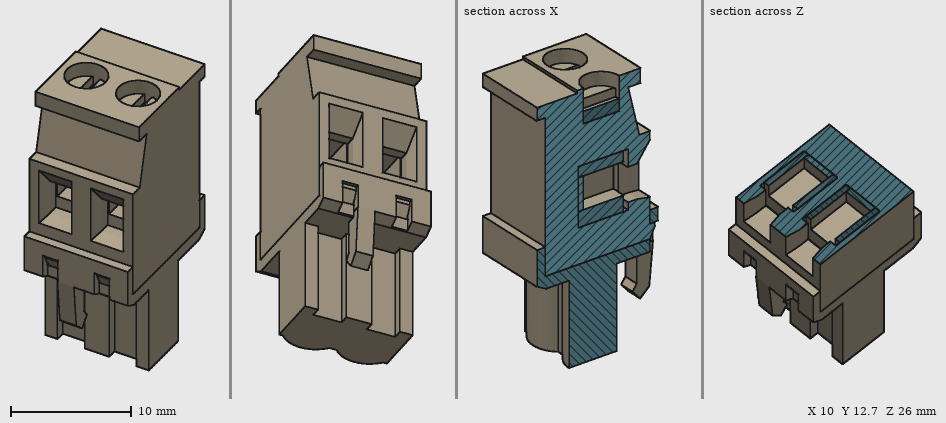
import cadquery as cq


WIDTH = 10.0
DEPTH = 12.65
HEIGHT = 26.0
POLE_PITCH = 5.0
POLE_XS = (-POLE_PITCH / 2, POLE_PITCH / 2)
BACK_Y = 6.7
FRONT_Y = BACK_Y - DEPTH

HOUSING_FRONT_Y = -5.12
HOUSING_BACK_Y = 5.85
HOUSING_BOTTOM_Z = 9.46
BACK_LEDGE_Y = 2.52
BACK_LEDGE_DROP = 0.25
BACK_FLANGE_BOTTOM_Z = 24.47
FRONT_FLANGE_Y = -4.1
FRONT_FLANGE_BOTTOM_Z = 24.55
SLOPE_TOP_Y = -2.85
SLOPE_BOTTOM_Y = -4.0
SHOULDER_Z = 19.73

ENTRY_WIDTH = 3.15
ENTRY_BOTTOM_Z = 13.47
ENTRY_TOP_Z = 18.88
THROAT_WIDTH = 2.63
THROAT_BOTTOM_Z = 13.73
THROAT_TOP_Z = 17.03
FUNNEL_DEPTH = 1.38
THROAT_END_Y = -2.78

CAGE_WIDTH = 3.9
CAGE_DEPTH = 4.68
CAGE_FRONT_Y = -CAGE_DEPTH / 2
CAGE_BACK_Y = CAGE_DEPTH / 2
CAGE_BOTTOM_Z = 13.0
CAGE_TOP_Z = 18.72
CAGE_WINDOW_WIDTH = 2.85
CAGE_WINDOW_BOTTOM_Z = 14.53
CAGE_WINDOW_TOP_Z = 17.68

CONTACT_THICKNESS = 0.52
CONTACT_NECK_WIDTH = 2.25
CONTACT_SHOULDER_Z = 16.5

SCREW_DIAMETER = 3.7
SCREW_RECESS = 1.25
SCREW_HEIGHT = 2.08
SCREW_EDGE_RADIUS = 0.25
SCREW_SLOT_WIDTH = 0.78
SCREW_SLOT_DEPTH = 0.9
SCREW_TOP_Z = HEIGHT - SCREW_RECESS
SCREW_BOTTOM_Z = SCREW_TOP_Z - SCREW_HEIGHT

SNAP_SLOT_WIDTH = 1.45
SNAP_SLOT_TOP_Z = 10.95
SNAP_WEDGE_WIDTH = 1.38
SNAP_WEDGE_KNEE_Z = 10.58
SNAP_WEDGE_PROJECTION = 0.52

CARRIER_TOP_Z = 12.27
CARRIER_BOTTOM_Z = 8.27
CARRIER_CHAMFER_Y = 0.95
CARRIER_CHAMFER_Z = 0.52

STEM_FRONT_Y = -2.52
STEM_BACK_Y = 2.35
STEM_GROOVE_WIDTH = 2.63
STEM_GROOVE_DEPTH = 0.88
RIB_RADIUS = 2.85
RIB_HEIGHT = 1.0

LATCH_LEFT_X = -1.8
LATCH_WIDTH = 1.59
LATCH_INNER_Y = -4.25
LATCH_HOOK_TOP_Z = 5.25
LATCH_HOOK_Y = -3.8
LATCH_HOOK_Z = 4.63
LATCH_TIP_Y = -4.6
LATCH_TIP_Z = 3.72
LATCH_OUTER_END_Y = -5.56
LATCH_OUTER_END_Z = 4.6


def box(x_center, width, y_min, y_max, z_min, z_max):
    """Axis-aligned block centred on x_center."""
    block = cq.Workplane("XY").box(width, y_max - y_min, z_max - z_min, centered=(True, False, False))
    return block.translate((x_center, y_min, z_min))


def extrude_side_profile(points, x_center, width):
    """Prism along X from a closed outline of (y, z) points."""
    return cq.Workplane("YZ", origin=(x_center, 0, 0)).polyline(points).close().extrude(width / 2, both=True)


def housing_shell():
    ledge_z = HEIGHT - BACK_LEDGE_DROP
    outline = [
        (HOUSING_FRONT_Y, HOUSING_BOTTOM_Z),
        (HOUSING_FRONT_Y, SHOULDER_Z),
        (SLOPE_BOTTOM_Y, SHOULDER_Z),
        (SLOPE_TOP_Y, FRONT_FLANGE_BOTTOM_Z),
        (FRONT_FLANGE_Y, FRONT_FLANGE_BOTTOM_Z),
        (FRONT_FLANGE_Y, HEIGHT),
        (BACK_LEDGE_Y, HEIGHT),
        (BACK_LEDGE_Y, ledge_z),
        (BACK_Y, ledge_z),
        (BACK_Y, BACK_FLANGE_BOTTOM_Z),
        (HOUSING_BACK_Y, BACK_FLANGE_BOTTOM_Z),
        (HOUSING_BACK_Y, HOUSING_BOTTOM_Z),
    ]
    return extrude_side_profile(outline, 0, WIDTH)


def wire_entry(x):
    """Tapered funnel and straight throat, as one cutting shape."""
    entry_height = ENTRY_TOP_Z - ENTRY_BOTTOM_Z
    throat_height = THROAT_TOP_Z - THROAT_BOTTOM_Z
    entry_center_z = (ENTRY_TOP_Z + ENTRY_BOTTOM_Z) / 2
    throat_center_z = (THROAT_TOP_Z + THROAT_BOTTOM_Z) / 2
    funnel = (
        cq.Workplane("XZ", origin=(x, HOUSING_FRONT_Y, entry_center_z))
        .rect(ENTRY_WIDTH, entry_height)
        .workplane(offset=-FUNNEL_DEPTH)
        .center(0, throat_center_z - entry_center_z)
        .rect(THROAT_WIDTH, throat_height)
        .loft(ruled=True)
    )
    funnel_end_y = HOUSING_FRONT_Y + FUNNEL_DEPTH
    throat = box(x, THROAT_WIDTH, funnel_end_y, THROAT_END_Y, THROAT_BOTTOM_Z, THROAT_TOP_Z)
    return funnel.union(throat)


def clamp_cavity(x):
    return box(x, CAGE_WIDTH, THROAT_END_Y, CAGE_BACK_Y, CAGE_BOTTOM_Z, CAGE_TOP_Z)


def screw_hole(x):
    depth = HEIGHT - SCREW_BOTTOM_Z
    return cq.Workplane("XY", origin=(x, 0, SCREW_BOTTOM_Z)).circle(SCREW_DIAMETER / 2).extrude(depth)


def snap_wedge(x):
    """Wedge that thins out toward the housing's lower edge."""
    wedge_front_y = HOUSING_FRONT_Y - SNAP_WEDGE_PROJECTION
    outline = [
        (HOUSING_FRONT_Y, HOUSING_BOTTOM_Z),
        (wedge_front_y, SNAP_WEDGE_KNEE_Z),
        (wedge_front_y, SNAP_SLOT_TOP_Z),
        (HOUSING_FRONT_Y, SNAP_SLOT_TOP_Z),
    ]
    return extrude_side_profile(outline, x, SNAP_WEDGE_WIDTH)


def make_housing():
    housing = housing_shell()
    for x in POLE_XS:
        housing = housing.union(snap_wedge(x))
        housing = housing.cut(wire_entry(x)).cut(clamp_cavity(x)).cut(screw_hole(x))
    return housing


def carrier():
    """U-shaped cradle around the lower end of the housing, with chamfered lower edges."""
    chamfer_top_z = CARRIER_BOTTOM_Z + CARRIER_CHAMFER_Z
    outline = [
        (FRONT_Y, CARRIER_TOP_Z),
        (FRONT_Y, chamfer_top_z),
        (FRONT_Y + CARRIER_CHAMFER_Y, CARRIER_BOTTOM_Z),
        (BACK_Y - CARRIER_CHAMFER_Y, CARRIER_BOTTOM_Z),
        (BACK_Y, chamfer_top_z),
        (BACK_Y, CARRIER_TOP_Z),
        (HOUSING_BACK_Y, CARRIER_TOP_Z),
        (HOUSING_BACK_Y, HOUSING_BOTTOM_Z),
        (HOUSING_FRONT_Y, HOUSING_BOTTOM_Z),
        (HOUSING_FRONT_Y, CARRIER_TOP_Z),
    ]
    return extrude_side_profile(outline, 0, WIDTH)


def snap_slot(x):
    return box(x, SNAP_SLOT_WIDTH, FRONT_Y, HOUSING_FRONT_Y, CARRIER_BOTTOM_Z, SNAP_SLOT_TOP_Z)


def stem_groove(x):
    return box(x, STEM_GROOVE_WIDTH, STEM_FRONT_Y, STEM_FRONT_Y + STEM_GROOVE_DEPTH, 0, CARRIER_BOTTOM_Z)


def stem_rib(x):
    """Rounded rib on the stem's back: the part of a cylinder that stands out of the flat back."""
    axis_y = STEM_BACK_Y + RIB_HEIGHT - RIB_RADIUS
    cylinder = cq.Workplane("XY", origin=(x, axis_y, 0)).circle(RIB_RADIUS).extrude(CARRIER_BOTTOM_Z)
    keep = box(x, 2 * RIB_RADIUS, STEM_BACK_Y, STEM_BACK_Y + RIB_HEIGHT, 0, CARRIER_BOTTOM_Z)
    return cylinder.intersect(keep)


def stem():
    body = box(0, WIDTH, STEM_FRONT_Y, STEM_BACK_Y, 0, CARRIER_BOTTOM_Z)
    for x in POLE_XS:
        body = body.cut(stem_groove(x)).union(stem_rib(x))
    return body


def latch():
    """Hooked arm hanging from the carrier's front edge."""
    outline = [
        (FRONT_Y, CARRIER_BOTTOM_Z + CARRIER_CHAMFER_Z),
        (LATCH_OUTER_END_Y, LATCH_OUTER_END_Z),
        (LATCH_TIP_Y, LATCH_TIP_Z),
        (LATCH_HOOK_Y, LATCH_HOOK_Z),
        (LATCH_INNER_Y, LATCH_HOOK_TOP_Z),
        (LATCH_INNER_Y, CARRIER_BOTTOM_Z + CARRIER_CHAMFER_Z),
    ]
    return extrude_side_profile(outline, LATCH_LEFT_X + LATCH_WIDTH / 2, LATCH_WIDTH)


def make_plug():
    plug = carrier()
    for x in POLE_XS:
        plug = plug.cut(snap_slot(x))
    return plug.union(stem()).union(latch())


def make_screw(x):
    """Slotted screw head with a rounded upper edge."""
    radius = SCREW_DIAMETER / 2
    head = cq.Workplane("XY", origin=(x, 0, SCREW_BOTTOM_Z)).circle(radius).extrude(SCREW_HEIGHT)
    head = head.faces(">Z").edges().fillet(SCREW_EDGE_RADIUS)
    slot = box(x, SCREW_SLOT_WIDTH, -radius, radius, SCREW_TOP_Z - SCREW_SLOT_DEPTH, SCREW_TOP_Z)
    return head.cut(slot)


def make_clamp_cage(x):
    """Rectangular frame that is open from front to back."""
    frame = box(x, CAGE_WIDTH, CAGE_FRONT_Y, CAGE_BACK_Y, CAGE_BOTTOM_Z, CAGE_TOP_Z)
    window = box(x, CAGE_WINDOW_WIDTH, CAGE_FRONT_Y, CAGE_BACK_Y, CAGE_WINDOW_BOTTOM_Z, CAGE_WINDOW_TOP_Z)
    return frame.cut(window)


def make_contact(x):
    """Shouldered plate: as wide as the cage window below, with a narrower neck above."""
    front_y = CAGE_BACK_Y - CONTACT_THICKNESS
    blade = box(x, CAGE_WINDOW_WIDTH, front_y, CAGE_BACK_Y, CAGE_WINDOW_BOTTOM_Z, CONTACT_SHOULDER_Z)
    neck = box(x, CONTACT_NECK_WIDTH, front_y, CAGE_BACK_Y, CONTACT_SHOULDER_Z, CAGE_WINDOW_TOP_Z)
    return blade.union(neck)


housing = make_housing()
plug = make_plug()
screws = [make_screw(x) for x in POLE_XS]
clamp_cages = [make_clamp_cage(x) for x in POLE_XS]
contacts = [make_contact(x) for x in POLE_XS]

result = cq.Compound.makeCompound(
    [body.val() for body in [housing, plug, *screws, *clamp_cages, *contacts]]
)